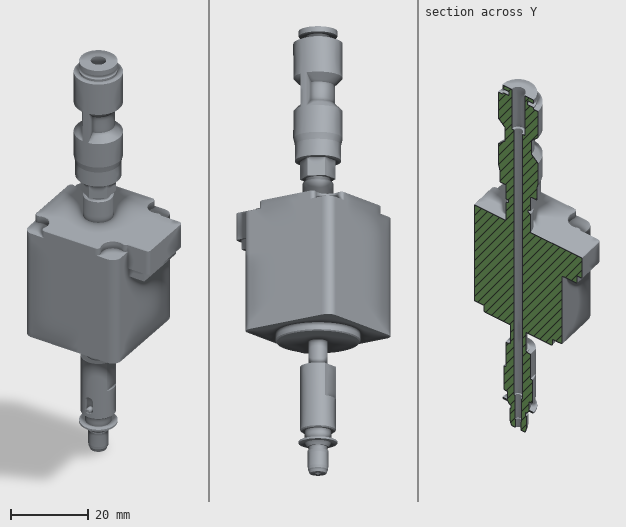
import cadquery as cq


MOTOR_WIDTH = 28.2
MOTOR_LENGTH = 34.0
MOTOR_CORNER_RADIUS = 2.5
TOP_EDGE_CHAMFER = 0.15
PILOT_DIAMETER = 22.0
PILOT_HEIGHT = 2.2
PILOT_CHAMFER = 0.3

SCREW_SPACING = 23.0
RECESS_RADIUS = 3.1
RECESS_DEPTH = 2.2
RECESS_EDGE_RADIUS = 1.0

CONNECTOR_WIDTH = 16.5
CONNECTOR_LENGTH = 6.4
CONNECTOR_HEIGHT = 7.3
CONNECTOR_CORNER_RADIUS = 1.0
CONNECTOR_OVERLAP = 2.0
SOCKET_LENGTH = 4.7
SOCKET_HEIGHT = 2.7
SOCKET_INSET = 0.5

UPPER_SHAFT_DIAMETER = 8.0
UPPER_SHAFT_TOP = 40.7
UPPER_SHAFT_CHAMFER = 0.4
FITTING_NECK_DIAMETER = 6.5
HEX_BOTTOM = 41.5
HEX_TOP = 46.4
HEX_ACROSS_FLATS = 8.0
FITTING_BASE_DIAMETER = 12.0
FITTING_DIAMETER = 12.8
FITTING_TAPER_BOTTOM = 50.75
FITTING_TAPER_TOP = 52.5
WAIST_DIAMETER = 8.6
WAIST_BOTTOM = 59.7
WAIST_TOP = 68.7
WAIST_CONE_HEIGHT = (FITTING_DIAMETER - WAIST_DIAMETER) / 2
WAIST_RIB_THICKNESS = 1.8
FITTING_TOP = 78.0
SEAT_DIAMETER = 9.85
SEAT_TOP = 78.65
RELEASE_NECK_DIAMETER = 6.0
RELEASE_COLLAR_DIAMETER = 10.0
RELEASE_COLLAR_BOTTOM = 79.9
OVERALL_LENGTH = 118.87
TOP = 81.3
BOTTOM = TOP - OVERALL_LENGTH

LOWER_SHAFT_DIAMETER = 5.0
HOLDER_RIM_DIAMETER = 6.0
HOLDER_RIM_TOP = -8.7
HOLDER_TOP = -9.0
HOLDER_DIAMETER = 9.25
HOLDER_BOTTOM = -26.2
HOLDER_CHAMFER = 0.3
HOLDER_ACROSS_FLATS = 8.0
HOLDER_FLATS_BOTTOM = -17.7
SLEEVE_DIAMETER = 6.9
WASHER_DIAMETER = 10.0
WASHER_TOP = -29.0
WASHER_THICKNESS = 0.5
NOZZLE_CONE_DIAMETER = 6.8
NOZZLE_CONE_BOTTOM = -30.5
NOZZLE_NECK_DIAMETER = 4.8
NOZZLE_TOP = -31.6
NOZZLE_LIP_DIAMETER = 5.5
NOZZLE_LIP_BOTTOM = -32.3
NOZZLE_DIAMETER = 5.33
NOZZLE_TAPER_TOP = -35.85
NOZZLE_TAPER_BOTTOM = -36.6
NOZZLE_TAPER_DIAMETER = 5.2
NOZZLE_STEP_DIAMETER = 4.8
NOZZLE_STEP_BOTTOM = -36.9
NOZZLE_TIP_DIAMETER = 4.42

SLOT_WIDTH = 2.2
SLOT_LENGTH = 5.0
SLOT_TOP = -19.8
SLOT_DEPTH = 1.0
PIN_DIAMETER = 1.5
PIN_CHAMFER = 0.3
PIN_REACH = 5.2
PIN_ROOT = 2.5

TUBE_SOCKET_DIAMETER = 4.0
TUBE_SOCKET_DEPTH = 14.0
PASSAGE_DIAMETER = 2.65
NOZZLE_PASSAGE_DIAMETER = 2.0
OUTLET_DIAMETER = 1.5
OUTLET_LENGTH = 3.0


def cylinder(diameter, bottom, top):
    return cq.Workplane("XY", origin=(0, 0, bottom)).circle(diameter / 2).extrude(top - bottom)


def turned(sections):
    """Solid of revolution about Z through (diameter, z) pairs, closed along the axis."""
    first_z = sections[0][1]
    last_z = sections[-1][1]
    points = [(0, first_z)] + [(diameter / 2, z) for diameter, z in sections] + [(0, last_z)]
    return cq.Workplane("XZ").polyline(points).close().revolve(360, (0, 0), (0, 1))


def make_connector():
    side = MOTOR_WIDTH / 2
    bottom = MOTOR_LENGTH - CONNECTOR_HEIGHT
    housing = (
        cq.Workplane("XY", origin=(side - CONNECTOR_OVERLAP, 0, bottom))
        .box(
            CONNECTOR_LENGTH + CONNECTOR_OVERLAP,
            CONNECTOR_WIDTH,
            CONNECTOR_HEIGHT,
            centered=(False, True, False),
        )
        .edges("|Z and >X")
        .fillet(CONNECTOR_CORNER_RADIUS)
    )
    socket = cq.Workplane("XY", origin=(side, 0, bottom - SOCKET_HEIGHT)).box(
        SOCKET_LENGTH,
        CONNECTOR_WIDTH - 2 * SOCKET_INSET,
        SOCKET_HEIGHT,
        centered=(False, True, False),
    )
    return housing.union(socket)


def make_motor():
    motor = (
        cq.Workplane("XY")
        .rect(MOTOR_WIDTH, MOTOR_WIDTH)
        .extrude(MOTOR_LENGTH)
        .edges("|Z")
        .fillet(MOTOR_CORNER_RADIUS)
    )
    recesses = (
        cq.Workplane("XY", origin=(0, 0, MOTOR_LENGTH - RECESS_DEPTH))
        .rect(SCREW_SPACING, SCREW_SPACING, forConstruction=True)
        .vertices()
        .circle(RECESS_RADIUS)
        .extrude(RECESS_DEPTH)
    )
    motor = motor.cut(recesses)
    recess_band = cq.selectors.BoxSelector(
        (-MOTOR_WIDTH, -MOTOR_WIDTH, MOTOR_LENGTH - RECESS_DEPTH),
        (MOTOR_WIDTH, MOTOR_WIDTH, MOTOR_LENGTH),
    )
    motor = motor.edges("|Z").edges(recess_band).fillet(RECESS_EDGE_RADIUS)
    motor = motor.union(make_connector())
    motor = motor.faces(">Z").chamfer(TOP_EDGE_CHAMFER)
    pilot = cylinder(PILOT_DIAMETER, -PILOT_HEIGHT, 0).faces("<Z").chamfer(PILOT_CHAMFER)
    return motor.union(pilot)


def make_air_fitting():
    shaft = cylinder(UPPER_SHAFT_DIAMETER, MOTOR_LENGTH, UPPER_SHAFT_TOP)
    shaft = shaft.faces(">Z").chamfer(UPPER_SHAFT_CHAMFER)
    neck = cylinder(FITTING_NECK_DIAMETER, UPPER_SHAFT_TOP, HEX_BOTTOM)
    hexagon = (
        cq.Workplane("XY", origin=(0, 0, HEX_BOTTOM))
        .polygon(6, HEX_ACROSS_FLATS, circumscribed=True)
        .extrude(HEX_TOP - HEX_BOTTOM)
    )
    body = turned(
        [
            (FITTING_BASE_DIAMETER, HEX_TOP),
            (FITTING_BASE_DIAMETER, FITTING_TAPER_BOTTOM),
            (FITTING_DIAMETER, FITTING_TAPER_TOP),
            (FITTING_DIAMETER, WAIST_BOTTOM),
            (WAIST_DIAMETER, WAIST_BOTTOM + WAIST_CONE_HEIGHT),
            (WAIST_DIAMETER, WAIST_TOP - WAIST_CONE_HEIGHT),
            (FITTING_DIAMETER, WAIST_TOP),
            (FITTING_DIAMETER, FITTING_TOP),
            (SEAT_DIAMETER, FITTING_TOP),
            (SEAT_DIAMETER, SEAT_TOP),
            (RELEASE_NECK_DIAMETER, SEAT_TOP),
            (RELEASE_NECK_DIAMETER, RELEASE_COLLAR_BOTTOM),
            (RELEASE_COLLAR_DIAMETER, RELEASE_COLLAR_BOTTOM),
            (RELEASE_COLLAR_DIAMETER, TOP),
        ]
    )
    rib_plate = cq.Workplane("XY", origin=(0, 0, WAIST_BOTTOM)).box(
        WAIST_RIB_THICKNESS,
        FITTING_DIAMETER,
        WAIST_TOP - WAIST_BOTTOM,
        centered=(True, True, False),
    )
    ribs = rib_plate.intersect(cylinder(FITTING_DIAMETER, WAIST_BOTTOM, WAIST_TOP))
    return shaft.union(neck).union(hexagon).union(body).union(ribs)


def make_holder():
    holder = cylinder(HOLDER_DIAMETER, HOLDER_BOTTOM, HOLDER_TOP)
    holder = holder.faces("<Z").chamfer(HOLDER_CHAMFER)
    flats_height = HOLDER_TOP - HOLDER_FLATS_BOTTOM
    for side in (-1, 1):
        flat_cutter = cq.Workplane(
            "XY", origin=(side * HOLDER_ACROSS_FLATS, 0, HOLDER_FLATS_BOTTOM)
        ).box(HOLDER_ACROSS_FLATS, HOLDER_DIAMETER, flats_height, centered=(True, True, False))
        holder = holder.cut(flat_cutter)

    slot_surface = HOLDER_DIAMETER / 2
    slot = (
        cq.Workplane("XZ", origin=(0, -slot_surface, SLOT_TOP - SLOT_LENGTH / 2))
        .slot2D(SLOT_LENGTH, SLOT_WIDTH, 90)
        .extrude(-SLOT_DEPTH)
    )
    pin_z = SLOT_TOP - SLOT_LENGTH + SLOT_WIDTH / 2
    pin = (
        cq.Workplane("XZ", origin=(0, -PIN_ROOT, pin_z))
        .circle(PIN_DIAMETER / 2)
        .extrude(PIN_REACH - PIN_ROOT)
        .faces("<Y")
        .chamfer(PIN_CHAMFER)
    )
    return holder.cut(slot).union(pin)


def make_lower_spindle():
    shaft = cylinder(LOWER_SHAFT_DIAMETER, HOLDER_RIM_TOP, -PILOT_HEIGHT)
    rim = cylinder(HOLDER_RIM_DIAMETER, HOLDER_TOP, HOLDER_RIM_TOP)
    washer_bottom = WASHER_TOP - WASHER_THICKNESS
    nozzle = turned(
        [
            (SLEEVE_DIAMETER, HOLDER_BOTTOM),
            (SLEEVE_DIAMETER, WASHER_TOP),
            (WASHER_DIAMETER, WASHER_TOP),
            (WASHER_DIAMETER, washer_bottom),
            (NOZZLE_CONE_DIAMETER, washer_bottom),
            (NOZZLE_LIP_DIAMETER, NOZZLE_CONE_BOTTOM),
            (NOZZLE_NECK_DIAMETER, NOZZLE_CONE_BOTTOM),
            (NOZZLE_NECK_DIAMETER, NOZZLE_TOP),
            (NOZZLE_LIP_DIAMETER, NOZZLE_TOP),
            (NOZZLE_DIAMETER, NOZZLE_LIP_BOTTOM),
            (NOZZLE_DIAMETER, NOZZLE_TAPER_TOP),
            (NOZZLE_TAPER_DIAMETER, NOZZLE_TAPER_BOTTOM),
            (NOZZLE_STEP_DIAMETER, NOZZLE_STEP_BOTTOM),
            (NOZZLE_TIP_DIAMETER, BOTTOM),
        ]
    )
    return shaft.union(rim).union(make_holder()).union(nozzle)


def make_air_passage():
    socket_bottom = TOP - TUBE_SOCKET_DEPTH
    outlet_top = BOTTOM + OUTLET_LENGTH
    socket = cylinder(TUBE_SOCKET_DIAMETER, socket_bottom, TOP)
    upper_passage = cylinder(PASSAGE_DIAMETER, HOLDER_BOTTOM, socket_bottom)
    nozzle_passage = cylinder(NOZZLE_PASSAGE_DIAMETER, outlet_top, HOLDER_BOTTOM)
    outlet = cylinder(OUTLET_DIAMETER, BOTTOM, outlet_top)
    return socket.union(upper_passage).union(nozzle_passage).union(outlet)


result = (
    make_motor()
    .union(make_air_fitting())
    .union(make_lower_spindle())
    .cut(make_air_passage())
)